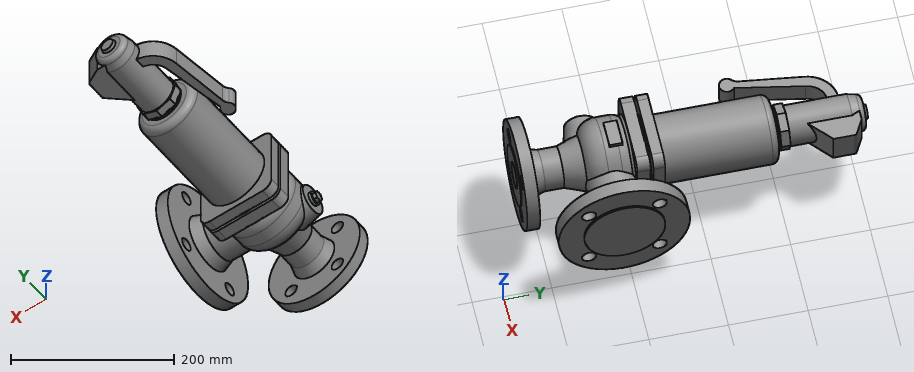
import cadquery as cq
import math


inlet_face_y = -115.0
inlet_raised_height = 1.5
inlet_raised_radius = 39.0
inlet_mark_radius = 17.0
inlet_mark_depth = 0.5
inlet_flange_radius = 70.0
inlet_flange_back_y = -97.5
inlet_flange_front_y = inlet_face_y + inlet_raised_height
inlet_hub_radius = 31.0
inlet_hub_end_y = -82.0
inlet_neck_radius = 26.0
inlet_neck_end_y = -57.5
inlet_bolt_circle_radius = 50.0

outlet_face_x = 110.0
outlet_raised_height = 2.0
outlet_raised_radius = 51.0
outlet_flange_radius = 165.0 / 2
outlet_flange_back_x = 90.0
outlet_flange_front_x = outlet_face_x - outlet_raised_height
outlet_hub_radius = 39.0
outlet_hub_start_x = 73.5
outlet_pipe_radius = 32.7
outlet_bolt_circle_radius = 63.0

bolt_hole_radius = 9.0
bolt_hole_count = 4

bowl_radius = 52.5
bowl_base_y = -31.0
bowl_base_radius = 35.5
bowl_belt_bottom_y = -5.5
bowl_belt_top_y = 12.0
bowl_shoulder_y = 24.5
bowl_collar_radius = 49.0
bowl_flare_radius = 51.5

square_half_width = 54.0
square_corner_radius = 13.3
lower_square_bottom_y = 28.0
lower_square_top_y = 44.5
spigot_step_y = 46.0
spigot_lower_radius = 49.5
spigot_upper_radius = 48.0
upper_square_bottom_y = 48.2
upper_square_top_y = 63.0

bonnet_radius = 43.5
bonnet_top_y = 210.0
bonnet_edge_radius = 9.7
bonnet_collar_radius = 51.8 / 2
bonnet_collar_top_y = 213.0

cap_radius = 25.5
locknut_bottom_y = 214.5
locknut_top_y = 226.0
locknut_corner_radius = 29.0
locknut_sides = 8
cap_shoulder_y = 305.8
cap_crown_y = 316.5
cap_crown_radius = 23.5
cap_edge_radius = 7.0
cap_top_y = cap_crown_y + cap_edge_radius
cap_top_radius = cap_crown_radius - cap_edge_radius
cap_button_base_radius = 10.0
cap_button_radius = 9.0
cap_button_top_y = 327.5

guard_half_thickness = 21.0
guard_inner_x = 15.5
guard_outer_x = 44.5
guard_corner_radius = 3.5
guard_bottom_y = 250.0
guard_outer_bottom_y = 276.0
guard_outer_top_y = 305.0
guard_tip_x = 10.5

lever_half_width = 14.0
lever_elbow_center_x = -18.0
lever_elbow_center_y = 257.0
lever_elbow_outer_radius = 39.5
lever_elbow_inner_radius = 25.2
lever_elbow_end_angle = 173.0
lever_outer_end = (-67.5, 181.5)
lever_inner_end = (-59.5, 174.0)
lever_knob_blend = (-71.5, 173.5)
lever_knob_x = -65.0
lever_knob_y = 166.5
lever_knob_radius = 9.7

drain_y = -20.5
drain_face_x = -55.5
drain_face_radius = 20.5
drain_depth = 40.0
drain_half_angle = 13.0
plug_collar_radius = 9.5
plug_collar_end_x = -59.5
plug_hex_across_flats = 12.5
plug_hex_end_x = -64.5
plug_hex_sides = 6

pad_length = 34.0
pad_width = 17.0
pad_center_y = 9.5
pad_top_z = 54.5


def disc_y(radius, y_start, y_end):
    """Cylinder on the spindle axis."""
    return cq.Workplane("XZ", origin=(0, y_start, 0)).circle(radius).extrude(y_start - y_end)


def disc_x(radius, x_start, x_end, y=0):
    """Cylinder parallel to the outlet axis."""
    return cq.Workplane("YZ", origin=(x_start, y, 0)).circle(radius).extrude(x_end - x_start)


def bolt_holes(workplane, bolt_circle_radius, length):
    """Four holes straddling the centre lines."""
    first_angle = 180 / bolt_hole_count
    return (
        workplane.polarArray(bolt_circle_radius, first_angle, 360, bolt_hole_count)
        .circle(bolt_hole_radius)
        .extrude(length)
    )


def rounded_square(y_bottom, y_top):
    """Square plate across the spindle axis with rounded corners."""
    side = 2 * square_half_width
    plate = cq.Workplane("XY").box(side, y_top - y_bottom, side)
    plate = plate.edges("|Y").fillet(square_corner_radius)
    return plate.translate((0, (y_bottom + y_top) / 2, 0))


def inlet_and_bowl():
    drop = bowl_belt_bottom_y - bowl_base_y
    inset = bowl_radius - bowl_base_radius
    round_radius = (drop**2 + inset**2) / (2 * inset)
    half_sweep = math.asin(drop / round_radius) / 2
    lower_mid = (
        bowl_radius - round_radius * (1 - math.cos(half_sweep)),
        bowl_belt_bottom_y - round_radius * math.sin(half_sweep),
    )
    profile = (
        cq.Workplane("XY")
        .moveTo(0, inlet_face_y)
        .lineTo(inlet_raised_radius, inlet_face_y)
        .lineTo(inlet_raised_radius, inlet_flange_front_y)
        .lineTo(inlet_flange_radius, inlet_flange_front_y)
        .lineTo(inlet_flange_radius, inlet_flange_back_y)
        .lineTo(inlet_hub_radius, inlet_flange_back_y)
        .lineTo(inlet_neck_radius, inlet_hub_end_y)
        .lineTo(inlet_neck_radius, inlet_neck_end_y)
        .lineTo(bowl_base_radius, bowl_base_y)
        .threePointArc(lower_mid, (bowl_radius, bowl_belt_bottom_y))
        .lineTo(bowl_radius, bowl_belt_top_y)
        .tangentArcPoint((bowl_collar_radius, bowl_shoulder_y), relative=False)
        .lineTo(bowl_flare_radius, lower_square_bottom_y)
        .lineTo(0, lower_square_bottom_y)
        .close()
    )
    body = profile.revolve(360, (0, 0, 0), (0, 1, 0))
    hole_plane = cq.Workplane("XZ", origin=(0, inlet_flange_back_y, 0))
    body = body.cut(bolt_holes(hole_plane, inlet_bolt_circle_radius, inlet_flange_back_y - inlet_face_y))
    return body.cut(disc_y(inlet_mark_radius, inlet_face_y, inlet_face_y + inlet_mark_depth))


def outlet():
    profile = (
        cq.Workplane("XY")
        .moveTo(0, 0)
        .lineTo(0, outlet_pipe_radius)
        .lineTo(outlet_hub_start_x, outlet_pipe_radius)
        .lineTo(outlet_flange_back_x, outlet_hub_radius)
        .lineTo(outlet_flange_back_x, outlet_flange_radius)
        .lineTo(outlet_flange_front_x, outlet_flange_radius)
        .lineTo(outlet_flange_front_x, outlet_raised_radius)
        .lineTo(outlet_face_x, outlet_raised_radius)
        .lineTo(outlet_face_x, 0)
        .close()
    )
    branch = profile.revolve(360, (0, 0, 0), (1, 0, 0))
    hole_plane = cq.Workplane("YZ", origin=(outlet_flange_back_x, 0, 0))
    return branch.cut(bolt_holes(hole_plane, outlet_bolt_circle_radius, outlet_face_x - outlet_flange_back_x))


def clamping_flanges():
    return (
        rounded_square(lower_square_bottom_y, lower_square_top_y)
        .union(disc_y(spigot_lower_radius, lower_square_top_y, spigot_step_y))
        .union(disc_y(spigot_upper_radius, spigot_step_y, upper_square_bottom_y))
        .union(rounded_square(upper_square_bottom_y, upper_square_top_y))
    )


def bonnet():
    barrel = disc_y(bonnet_radius, upper_square_top_y, bonnet_top_y)
    barrel = barrel.faces(">Y").edges().fillet(bonnet_edge_radius)
    return barrel.union(disc_y(bonnet_collar_radius, bonnet_top_y, bonnet_collar_top_y))


def cap():
    profile = (
        cq.Workplane("XY")
        .moveTo(0, bonnet_top_y)
        .lineTo(cap_radius, bonnet_top_y)
        .lineTo(cap_radius, cap_shoulder_y)
        .lineTo(cap_crown_radius, cap_crown_y)
        .radiusArc((cap_top_radius, cap_top_y), -cap_edge_radius)
        .lineTo(cap_button_base_radius, cap_top_y)
        .lineTo(cap_button_radius, cap_button_top_y)
        .lineTo(0, cap_button_top_y)
        .close()
    )
    locknut = (
        cq.Workplane("XZ", origin=(0, locknut_bottom_y, 0))
        .polygon(locknut_sides, 2 * locknut_corner_radius)
        .extrude(locknut_bottom_y - locknut_top_y)
    )
    return profile.revolve(360, (0, 0, 0), (0, 1, 0)).union(locknut)


def lever_guard():
    outline = [
        (guard_inner_x, guard_bottom_y),
        (guard_outer_x, guard_outer_bottom_y),
        (guard_outer_x, guard_outer_top_y),
        (cap_crown_radius, cap_crown_y),
        (guard_tip_x, cap_crown_y),
        (guard_inner_x, cap_shoulder_y),
    ]
    plate = cq.Workplane("XY").polyline(outline).close().extrude(guard_half_thickness, both=True)
    nose = cq.selectors.NearestToPointSelector((guard_outer_x, guard_outer_top_y, 0))
    return plate.edges("|Z").edges(nose).fillet(guard_corner_radius)


def elbow_point(radius, angle):
    """Point on a lever elbow arc, with the angle in degrees from +X."""
    turn = math.radians(angle)
    return (
        lever_elbow_center_x + radius * math.cos(turn),
        lever_elbow_center_y + radius * math.sin(turn),
    )


def lever():
    top_angle = 90
    angles = (top_angle, (top_angle + lever_elbow_end_angle) / 2, lever_elbow_end_angle)
    outer = [elbow_point(lever_elbow_outer_radius, angle) for angle in angles]
    inner = [elbow_point(lever_elbow_inner_radius, angle) for angle in angles]
    arm = (
        cq.Workplane("XY")
        .moveTo(0, outer[0][1])
        .lineTo(*outer[0])
        .threePointArc(outer[1], outer[2])
        .lineTo(*lever_outer_end)
        .tangentArcPoint(lever_knob_blend, relative=False)
        .lineTo(lever_knob_x, lever_knob_y)
        .lineTo(*lever_inner_end)
        .lineTo(*inner[2])
        .threePointArc(inner[1], inner[0])
        .lineTo(0, inner[0][1])
        .close()
        .extrude(lever_half_width, both=True)
    )
    knob = (
        cq.Workplane("XY")
        .center(lever_knob_x, lever_knob_y)
        .circle(lever_knob_radius)
        .extrude(lever_half_width, both=True)
    )
    return arm.union(knob)


def drain_boss():
    cone = (
        cq.Workplane("YZ", origin=(drain_face_x, drain_y, 0))
        .circle(drain_face_radius)
        .extrude(drain_depth, taper=-drain_half_angle)
    )
    collar = disc_x(plug_collar_radius, drain_face_x, plug_collar_end_x, drain_y)
    plug_corner_diameter = plug_hex_across_flats / math.cos(math.pi / plug_hex_sides)
    plug_hex = (
        cq.Workplane("YZ", origin=(plug_collar_end_x, drain_y, 0))
        .polygon(plug_hex_sides, plug_corner_diameter)
        .extrude(plug_hex_end_x - plug_collar_end_x)
    )
    return cone.union(collar).union(plug_hex)


def name_plate_pad():
    return cq.Workplane("XY").center(0, pad_center_y).rect(pad_length, pad_width).extrude(pad_top_z)


result = (
    inlet_and_bowl()
    .union(outlet())
    .union(clamping_flanges())
    .union(bonnet())
    .union(cap())
    .union(lever_guard())
    .union(lever())
    .union(drain_boss())
    .union(name_plate_pad())
)